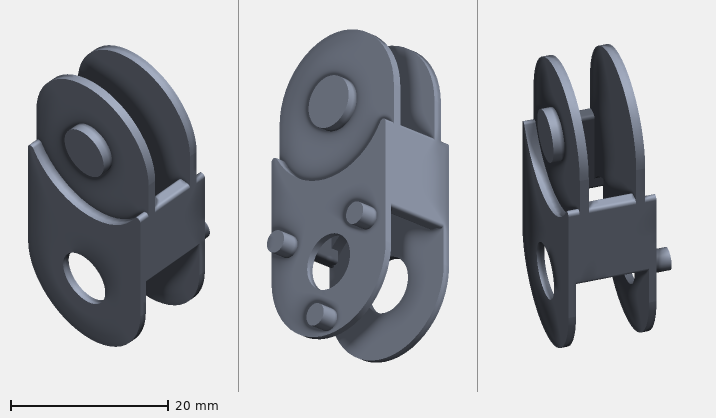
import math

import cadquery as cq

end_radius = 10.0
pivot_spacing = 22.0
clearance_radius = 10.5
tip_radius = 0.5

body_width = 11.7
outer_plate_thickness = 1.0
inner_plate_thickness = 1.2
inner_plate_offset = 1.5

hole_diameter = 7.5
boss_diameter = 7.0
pin_diameter = 3.0
pin_length = 2.5
pin_circle_radius = 8.0
pin_angles = (30, 150, 270)
web_thickness = 2.0

half_body = body_width / 2
mid_height = pivot_spacing / 2

tip_x = end_radius - tip_radius
tip_drop = math.sqrt((clearance_radius + tip_radius) ** 2 - tip_x**2)
tip_z = pivot_spacing - tip_drop
web_height = 2 * (tip_z + tip_radius - mid_height)

tangent_ratio = clearance_radius / (clearance_radius + tip_radius)
tangent_x = tip_x * tangent_ratio
tangent_z = pivot_spacing - tip_drop * tangent_ratio


def extrude_along_y(profile, y_start, thickness):
    """Extrude an XZ profile in +Y; XZ sketches grow towards -Y by default."""
    return profile.extrude(-thickness).translate((0, y_start, 0))


def cylinder_along_y(x, z, diameter, y_start, length):
    profile = cq.Workplane("XZ").center(x, z).circle(diameter / 2)
    return extrude_along_y(profile, y_start, length)


def lower_plate(y_start, thickness):
    """Plate with a round end at the lower pivot and a relief around the upper pivot."""
    profile = (
        cq.Workplane("XZ")
        .moveTo(-end_radius, 0)
        .threePointArc((0, -end_radius), (end_radius, 0))
        .lineTo(end_radius, tip_z)
        .threePointArc((tip_x, tip_z + tip_radius), (tangent_x, tangent_z))
        .threePointArc((0, pivot_spacing - clearance_radius), (-tangent_x, tangent_z))
        .threePointArc((-tip_x, tip_z + tip_radius), (-end_radius, tip_z))
        .close()
    )
    return extrude_along_y(profile, y_start, thickness)


def upper_plate(y_start, thickness):
    """The lower plate turned upside down about the middle of the link."""
    return lower_plate(y_start, thickness).mirror("XY", (0, 0, mid_height))


def side_half():
    """Plates and boss on the -Y half of the link."""
    outer_face = -half_body
    inner_face = outer_face + inner_plate_offset
    step = inner_plate_offset - outer_plate_thickness
    outer = lower_plate(outer_face, outer_plate_thickness)
    inner = upper_plate(inner_face, inner_plate_thickness)
    joint_start = outer_face + outer_plate_thickness
    joint = lower_plate(joint_start, step).intersect(upper_plate(joint_start, step))
    boss = cylinder_along_y(0, pivot_spacing, boss_diameter, outer_face, inner_plate_offset)
    return outer.union(joint).union(inner).union(boss)


def web(side):
    """Rounded bar joining the two halves along one straight side (-1 or +1 in X)."""
    bar_start = -half_body + inner_plate_offset
    bar_length = body_width - 2 * inner_plate_offset
    bar = (
        cq.Workplane("XY")
        .box(web_thickness, bar_length, web_height)
        .edges("|Y")
        .fillet(tip_radius)
    )
    bar_x = side * (end_radius - web_thickness / 2)
    return bar.translate((bar_x, bar_start + bar_length / 2, mid_height))


def pins():
    """Pins on the +Y face, spaced evenly around the lower pivot."""
    group = cq.Workplane("XZ")
    for angle in pin_angles:
        x = pin_circle_radius * math.cos(math.radians(angle))
        z = pin_circle_radius * math.sin(math.radians(angle))
        root = half_body - outer_plate_thickness
        length = outer_plate_thickness + pin_length
        group = group.add(cylinder_along_y(x, z, pin_diameter, root, length))
    return group.combine()


front_half = side_half()
body = front_half.union(front_half.mirror("XZ"))
for side in (-1, 1):
    body = body.union(web(side))
body = body.union(pins())
result = body.cut(cylinder_along_y(0, 0, hole_diameter, -half_body, body_width))